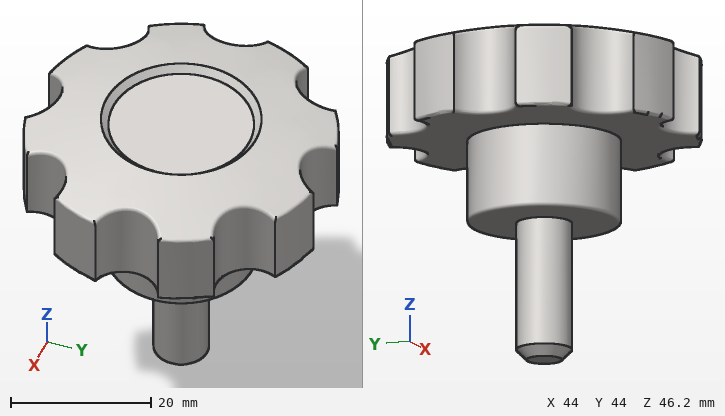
import cadquery as cq
import math

total_height = 46.2
hub_bottom = 20.0
head_bottom = 32.0

stud_diameter = 8.0
stud_chamfer = 1.5
hub_diameter = 22.0
hub_edge_radius = 0.5

head_radius = 22.5
dome_radius = 75.0
scallop_count = 8
scallop_radius = 5.0
scallop_center_radius = 23.45
head_edge_radius = 0.5

recess_top_radius = 11.45
recess_floor_radius = 10.4
recess_depth = 1.0


def dome_height(radius):
    """Height of the spherical top at a distance from the axis."""
    rim_drop = dome_radius - math.sqrt(dome_radius**2 - recess_top_radius**2)
    drop = dome_radius - math.sqrt(dome_radius**2 - radius**2)
    return total_height + rim_drop - drop


def make_head():
    """Domed disc with round grip scallops and softened outer edges."""
    middle_radius = head_radius / 2
    disc = (
        cq.Workplane("XZ")
        .moveTo(0, head_bottom)
        .lineTo(head_radius, head_bottom)
        .lineTo(head_radius, dome_height(head_radius))
        .threePointArc((middle_radius, dome_height(middle_radius)), (0, dome_height(0)))
        .close()
        .revolve(360, (0, 0), (0, 1))
    )
    scallops = (
        cq.Workplane("XY", origin=(0, 0, head_bottom))
        .polarArray(scallop_center_radius, 0, 360, scallop_count)
        .circle(scallop_radius)
        .extrude(total_height)
    )
    return disc.cut(scallops).edges("not |Z").fillet(head_edge_radius)


def make_recess():
    """Shallow conical recess with a flat floor."""
    floor_height = total_height - recess_depth
    wall_slope = (recess_top_radius - recess_floor_radius) / recess_depth
    clear_height = 2 * recess_depth
    clear_radius = recess_floor_radius + wall_slope * clear_height
    return (
        cq.Workplane("XZ")
        .moveTo(0, floor_height)
        .lineTo(recess_floor_radius, floor_height)
        .lineTo(clear_radius, floor_height + clear_height)
        .lineTo(0, floor_height + clear_height)
        .close()
        .revolve(360, (0, 0), (0, 1))
    )


def make_hub():
    """Round collar below the head."""
    return (
        cq.Workplane("XY", origin=(0, 0, hub_bottom))
        .circle(hub_diameter / 2)
        .extrude(head_bottom - hub_bottom)
        .faces("<Z")
        .edges()
        .fillet(hub_edge_radius)
    )


def make_stud():
    """Plain pin with a chamfered tip."""
    return (
        cq.Workplane("XY")
        .circle(stud_diameter / 2)
        .extrude(hub_bottom)
        .faces("<Z")
        .chamfer(stud_chamfer)
    )


result = make_head().cut(make_recess()).union(make_hub()).union(make_stud())